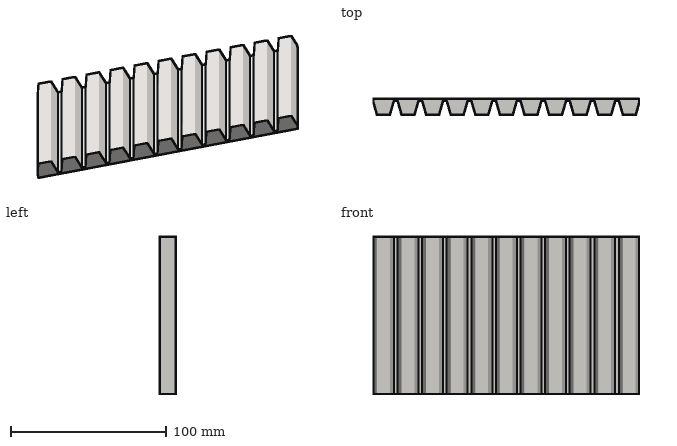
import cadquery as cq
import math

length = 171.5
thickness = 10.5
height = 101.7

tooth_count = 11
backing = 1.5
tip_width = 8.4
flank_angle = 16.0
first_tooth_center = -79.2
last_tooth_center = 79.4
tip_fillet = 0.5
back_fillet = 0.5
left_back_fillet = 0.3

back_y = thickness / 2
tip_y = -back_y
root_y = back_y - backing
left_x = -length / 2
right_x = length / 2
pitch = (last_tooth_center - first_tooth_center) / (tooth_count - 1)
flank_slope = math.tan(math.radians(flank_angle))


def half_width(y):
    """Half the tooth width at depth position y."""
    return tip_width / 2 + (y - tip_y) * flank_slope


def profile_points():
    """Outline in the XY plane; both end flanks stop at short flat ends."""
    trim_y = tip_y + (first_tooth_center - left_x - tip_width / 2) / flank_slope
    points = [(left_x, back_y), (left_x, trim_y)]
    for index in range(tooth_count):
        center = first_tooth_center + index * pitch
        if index > 0:
            points.append((center - half_width(root_y), root_y))
        points.append((center - tip_width / 2, tip_y))
        points.append((center + tip_width / 2, tip_y))
        if index < tooth_count - 1:
            points.append((center + half_width(root_y), root_y))
    flank_end_y = tip_y + (right_x - last_tooth_center - tip_width / 2) / flank_slope
    points.append((right_x, flank_end_y))
    points.append((right_x, back_y))
    return points


belt = cq.Workplane("XY").polyline(profile_points()).close().extrude(height / 2, both=True)

belt = belt.faces("<Y").edges("|Z").fillet(tip_fillet)

belt = belt.faces(">Y").edges(">X").fillet(back_fillet)
result = belt.faces(">Y").edges("<X").fillet(left_back_fillet)